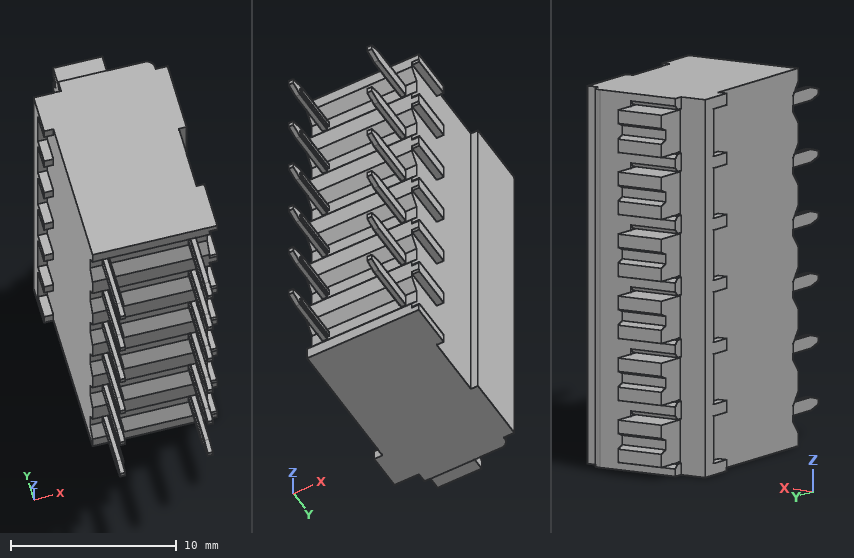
import cadquery as cq


pole_count = 6
pole_pitch = 3.81
row_length = 23.25
pole_z_centers = [(i - (pole_count - 1) / 2) * pole_pitch for i in range(pole_count)]

width = 8.4
shoulder_y = 11.5
crown_y = 12.15
crown_x_min = 1.72
crown_x_max = 7.65
crown_radius = 0.53

shelf_overhang = 0.58
shelf_bottom_y = 10.5
tab_bottom_y = 9.07
tab_thickness = 0.72

side_depth = 0.49
notch_y_min = 3.0
notch_y_max = 7.11
pocket_height = 2.93
pocket_chamfer_z = 0.16
pocket_chamfer_y = 0.07

groove_depth = 0.58
groove_floor = 0.98
groove_mouth = 2.45

lever_x_min = 1.8
lever_x_max = 4.88
lever_height = 2.6
lever_top_y = 13.62
lever_notch_depth = 0.49
lever_notch_mouth = 0.98
lever_notch_floor = 0.58
slot_clearance = 0.07
slot_chamfer = 0.25

pin_thickness = 0.33
pin_height = 0.81
pin_tip_height = 0.35
pin_tip_y = -3.53
pin_taper_y = -2.72
pin_x_starts = (1.35, 6.84)
bump_thickness = 0.12
bump_height = 0.37


def box(x_range, y_range, z_range):
    """Box between the given limits on each axis."""
    size = [high - low for low, high in (x_range, y_range, z_range)]
    corner = (x_range[0], y_range[0], z_range[0])
    return cq.Workplane("XY").box(*size, centered=False).translate(corner)


def prism_along_x(points, x_start, x_end):
    """Prism whose outline is given as (y, z) points."""
    return cq.Workplane("YZ").workplane(offset=x_start).polyline(points).close().extrude(x_end - x_start)


def mirrored_outline(half_points, z_center):
    """Closed outline from (y, half height) points, mirrored about z_center."""
    upper = [(y, z_center + half) for y, half in half_points]
    lower = [(y, z_center - half) for y, half in reversed(half_points)]
    return upper + lower


def housing():
    """Constant-section block with the shelf, the crown and the +X notch."""
    notch_x = width - side_depth
    outline = (
        cq.Workplane("XY")
        .workplane(offset=-row_length / 2)
        .moveTo(shelf_overhang, 0)
        .lineTo(width, 0)
        .lineTo(width, notch_y_min)
        .lineTo(notch_x, notch_y_min)
        .lineTo(notch_x, notch_y_max)
        .lineTo(width, notch_y_max)
        .lineTo(width, shoulder_y)
        .lineTo(crown_x_max, shoulder_y)
        .lineTo(crown_x_max, crown_y - crown_radius)
        .radiusArc((crown_x_max - crown_radius, crown_y), -crown_radius)
        .lineTo(crown_x_min, crown_y)
        .lineTo(crown_x_min, shoulder_y)
        .lineTo(0, shoulder_y)
        .lineTo(0, tab_bottom_y)
        .lineTo(shelf_overhang, tab_bottom_y)
        .close()
    )
    return outline.extrude(row_length)


def shelf_gaps():
    """Z limits of the gaps under the shelf, which leave tabs between poles and at both ends."""
    seams = [(low + high) / 2 for low, high in zip(pole_z_centers, pole_z_centers[1:])]
    end_tab_inner_z = row_length / 2 - tab_thickness
    gap_starts = [-end_tab_inner_z] + [z + tab_thickness / 2 for z in seams]
    gap_ends = [z - tab_thickness / 2 for z in seams] + [end_tab_inner_z]
    return zip(gap_starts, gap_ends)


def pin_groove(z):
    """Trapezoidal groove across the pin-side face."""
    half_points = [(0, groove_mouth / 2), (groove_depth, groove_floor / 2)]
    return prism_along_x(mirrored_outline(half_points, z), 0, width)


def side_pocket(z):
    """Pocket in the +X side below the notch, with a chamfered mouth."""
    half = pocket_height / 2
    half_points = [(0, half + pocket_chamfer_z), (pocket_chamfer_y, half), (notch_y_min, half)]
    return prism_along_x(mirrored_outline(half_points, z), width - side_depth, width)


def lever_slot(z):
    """Slot in the crown around a lever, open to -X and chamfered at its mouth."""
    half = lever_height / 2 + slot_clearance
    half_points = [(shoulder_y, half), (crown_y - slot_chamfer, half), (crown_y, half + slot_chamfer)]
    return prism_along_x(mirrored_outline(half_points, z), crown_x_min, lever_x_max)


def lever(z):
    """Lever block with a V-sided notch across its top."""
    half = lever_height / 2
    half_points = [
        (shoulder_y, half),
        (lever_top_y, half),
        (lever_top_y, lever_notch_mouth / 2),
        (lever_top_y - lever_notch_depth, lever_notch_floor / 2),
    ]
    return prism_along_x(mirrored_outline(half_points, z), lever_x_min, lever_x_max)


def pin(x_start, z):
    """Flat solder pin with a tapered tip."""
    half_points = [
        (groove_depth, pin_height / 2),
        (pin_taper_y, pin_height / 2),
        (pin_tip_y, pin_tip_height / 2),
    ]
    return prism_along_x(mirrored_outline(half_points, z), x_start, x_start + pin_thickness)


def pin_bump(x_start, z):
    """Round-ended stiffening strip on the inner side of a pin."""
    radius = bump_height / 2
    round_start_y = pin_taper_y + radius
    return (
        cq.Workplane("YZ")
        .workplane(offset=x_start)
        .moveTo(groove_depth, z - radius)
        .lineTo(round_start_y, z - radius)
        .threePointArc((pin_taper_y, z), (round_start_y, z + radius))
        .lineTo(groove_depth, z + radius)
        .close()
        .extrude(bump_thickness)
    )


result = housing()
for gap_limits in shelf_gaps():
    result = result.cut(box((0, shelf_overhang), (tab_bottom_y, shelf_bottom_y), gap_limits))

bump_x_starts = (pin_x_starts[0] + pin_thickness, pin_x_starts[1] - bump_thickness)
for pole_z in pole_z_centers:
    result = result.cut(pin_groove(pole_z)).cut(side_pocket(pole_z)).cut(lever_slot(pole_z))
    result = result.union(lever(pole_z))
    for pin_x, bump_x in zip(pin_x_starts, bump_x_starts):
        result = result.union(pin(pin_x, pole_z)).union(pin_bump(bump_x, pole_z))